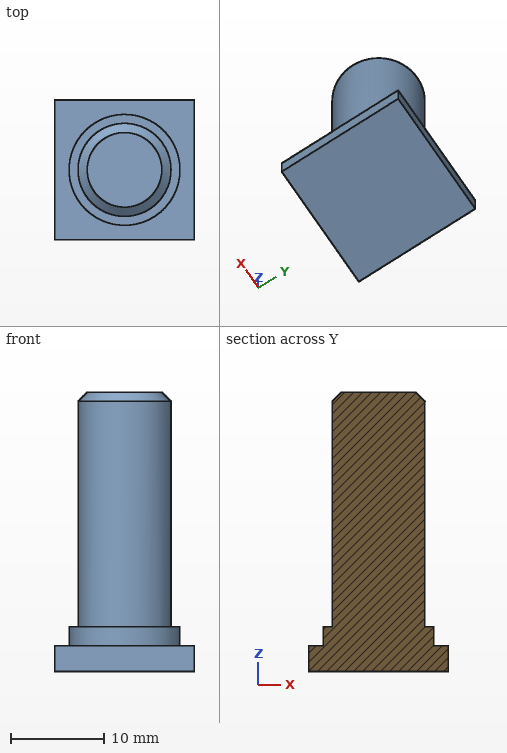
import cadquery as cq

total_height = 30.0
base_side = 15.0
base_thickness = 2.8
collar_diameter = 11.9
collar_height = 2.05
pin_diameter = 10.0
tip_chamfer = 1.0

pin_length = total_height - base_thickness - collar_height

base = cq.Workplane("XY").box(base_side, base_side, base_thickness, centered=(True, True, False))

body = base.faces(">Z").workplane().circle(collar_diameter / 2).extrude(collar_height)
body = body.faces(">Z").workplane().circle(pin_diameter / 2).extrude(pin_length)

result = body.faces(">Z").edges().chamfer(tip_chamfer)